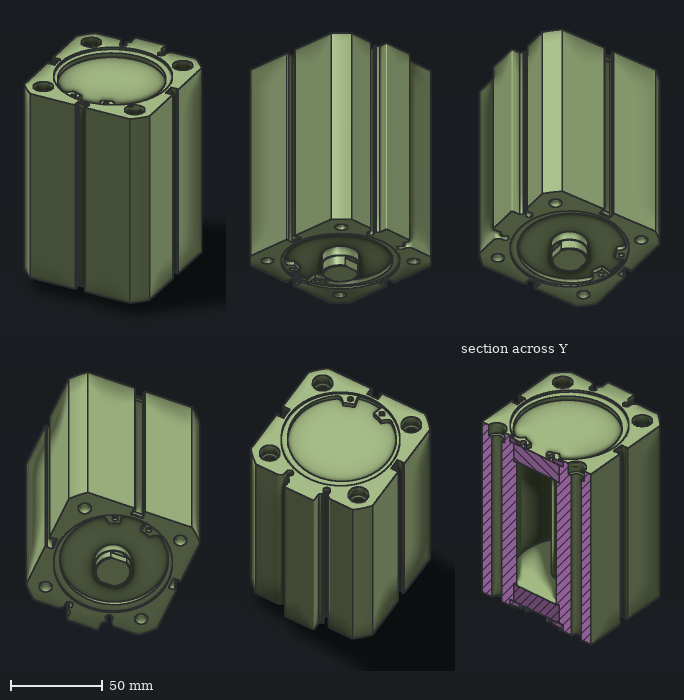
import cadquery as cq
import math


body_width = 77.5
body_height = 115.0
half_width = body_width / 2
corner_diameter = 99.0

rail_height = 5.5
rail_half_width = 9.3
rail_edge_radius = 0.6
rail_foot_height = 0.3
rail_foot_spread = 1.3
nose_half_width = 11.5
nose_height = 1.2
neck_half_width = 11.1

groove_radius = 2.0
groove_x = 11.8
groove_depth = 4.3
groove_lip_radius = 3.5

slot_width = 6.8
slot_depth = 4.5
slot_entry_width = 6.2
slot_mouth_width = 4.9
slot_lip_chamfer = (slot_entry_width - slot_mouth_width) / 2
slot_lip_land = 0.25

mount_spacing = 56.5
mount_diameter = 7.0
counterbore_diameter = 11.0
counterbore_depth = 7.0

bore_diameter = 63.0
cover_diameter = 65.0
cover_thickness = 12.0
ring_diameter = 68.0
ring_thickness = 2.7
ring_inset = 1.3
cover_inset = ring_inset + ring_thickness
seat_depth = cover_inset + cover_thickness

ring_opening_radius = 29.7
ring_opening_offset = 1.5
ring_gap_angle = 13.5
lug_end_angle = 27.5
lug_inner_radius = 26.1
lug_flank_length = 8.0
lug_root_radius = 3.0
lug_hole_diameter = 3.0
lug_hole_radius = 29.2
lug_hole_angle = 20.0

rod_diameter = 20.0
rod_tip_diameter = 19.5
rod_extension = 8.0
rod_collar_length = 1.5
rod_tip_chamfer = 0.5
flats_width = 17.0
flats_start = 3.0


def polar(radius, angle):
    """Point at a radius and an angle in degrees, measured from -Y toward +X."""
    turn = math.radians(angle)
    return radius * math.sin(turn), -radius * math.cos(turn)


def disc(diameter, bottom, height):
    return cq.Workplane("XY").workplane(offset=bottom).circle(diameter / 2).extrude(height)


def rail_flank(side):
    """Half of the rail, out to the rounded lip of its clearance groove and in to the axis."""
    groove_y = half_width - groove_depth
    foot_y = half_width + rail_foot_height - rail_foot_spread
    neck_y = groove_y + math.sqrt(groove_radius**2 - (groove_x - neck_half_width) ** 2)
    wall_x = groove_x + groove_radius
    lip_y = half_width - groove_lip_radius
    lip_turn = groove_lip_radius * (1 - math.sqrt(0.5))
    return (
        cq.Workplane("XY")
        .moveTo(0, half_width + rail_height)
        .lineTo(side * rail_half_width, half_width + rail_height)
        .lineTo(side * rail_half_width, half_width + rail_foot_height)
        .lineTo(side * (rail_half_width + rail_foot_spread), foot_y)
        .lineTo(side * nose_half_width, foot_y)
        .lineTo(side * nose_half_width, foot_y - nose_height)
        .lineTo(side * neck_half_width, foot_y - nose_height)
        .lineTo(side * neck_half_width, neck_y)
        .threePointArc((side * groove_x, groove_y - groove_radius), (side * wall_x, groove_y))
        .lineTo(side * wall_x, lip_y)
        .threePointArc(
            (side * (wall_x + lip_turn), half_width - lip_turn),
            (side * (wall_x + groove_lip_radius), half_width),
        )
        .lineTo(side * (wall_x + groove_lip_radius), 0)
        .lineTo(0, 0)
        .close()
        .extrude(body_height)
    )


def make_profile():
    """Square with turned corners, and the rail set into its +Y side."""
    square = cq.Workplane("XY").rect(body_width, body_width).extrude(body_height)
    square = square.intersect(disc(corner_diameter, 0, body_height))
    rail_zone = 2 * (groove_x + groove_radius + groove_lip_radius)
    opening = cq.Workplane("XY").center(0, half_width / 2).rect(rail_zone, half_width).extrude(body_height)
    rail = rail_flank(1).union(rail_flank(-1))
    rail = rail.faces(">Y").edges("|Z").fillet(rail_edge_radius)
    return square.cut(opening).union(rail)


def slot_cutter(turn):
    """Slot with a narrowed mouth, cut into the -Y side and then turned about the axis."""
    half_slot = slot_width / 2
    half_entry = slot_entry_width / 2
    half_mouth = slot_mouth_width / 2
    tip_y = -half_width + slot_lip_chamfer
    lip_back_y = tip_y + slot_lip_land
    floor_y = -half_width + slot_depth
    return (
        cq.Workplane("XY")
        .polyline([
            (-half_entry, -half_width),
            (-half_mouth, tip_y),
            (-half_mouth, lip_back_y),
            (-half_slot, lip_back_y),
            (-half_slot, floor_y),
            (half_slot, floor_y),
            (half_slot, lip_back_y),
            (half_mouth, lip_back_y),
            (half_mouth, tip_y),
            (half_entry, -half_width),
        ])
        .close()
        .extrude(body_height)
        .rotate((0, 0, 0), (0, 0, 1), turn)
    )


def make_housing():
    housing = make_profile()
    for turn in (-90, 0, 90):
        housing = housing.cut(slot_cutter(turn))
    housing = (
        housing.faces(">Z")
        .workplane(origin=(0, 0, body_height))
        .rect(mount_spacing, mount_spacing, forConstruction=True)
        .vertices()
        .cboreHole(mount_diameter, counterbore_diameter, counterbore_depth)
    )
    housing = housing.cut(disc(bore_diameter, 0, body_height))
    for seat_bottom in (0, body_height - seat_depth):
        housing = housing.cut(disc(cover_diameter, seat_bottom, seat_depth))
    for ring_bottom in (ring_inset, body_height - cover_inset):
        housing = housing.cut(disc(ring_diameter, ring_bottom, ring_thickness))
    return housing


def lug(side):
    """Ear beside the gap: a concentric inner edge and a flank at 45 degrees."""
    inner_corner = polar(lug_inner_radius, side * lug_end_angle)
    flank_step = lug_flank_length * math.sqrt(0.5)
    rim = ring_diameter / 2
    flank_end = (inner_corner[0] + side * flank_step, inner_corner[1] - flank_step)
    return (
        cq.Workplane("XY")
        .moveTo(*polar(rim, side * ring_gap_angle))
        .lineTo(*polar(lug_inner_radius, side * ring_gap_angle))
        .threePointArc(polar(lug_inner_radius, side * (ring_gap_angle + lug_end_angle) / 2), inner_corner)
        .lineTo(*flank_end)
        .close()
        .extrude(ring_thickness)
    )


def lug_root(side):
    """Point at mid thickness where a lug's flank meets the ring's opening."""
    corner_x, corner_y = polar(lug_inner_radius, side * lug_end_angle)
    across = abs(corner_x)
    down = -corner_y - ring_opening_offset
    step = (math.sqrt(2 * ring_opening_radius**2 - (across - down) ** 2) - across - down) / 2
    return side * (across + step), corner_y - step, ring_thickness / 2


def make_ring(bottom):
    blank = disc(ring_diameter, 0, ring_thickness)
    opening = disc(2 * ring_opening_radius, 0, ring_thickness).translate((0, -ring_opening_offset, 0))
    gap = (
        cq.Workplane("XY")
        .polyline([(0, 0), polar(ring_diameter, -ring_gap_angle), polar(ring_diameter, ring_gap_angle)])
        .close()
        .extrude(ring_thickness)
    )
    ring = blank.cut(opening).cut(gap)
    for side in (-1, 1):
        ring = ring.union(lug(side).intersect(blank))
    for side in (-1, 1):
        root_edge = cq.selectors.NearestToPointSelector(lug_root(side))
        ring = ring.edges(root_edge).fillet(lug_root_radius)
    holes = [polar(lug_hole_radius, side * lug_hole_angle) for side in (-1, 1)]
    pin_holes = cq.Workplane("XY").pushPoints(holes).circle(lug_hole_diameter / 2).extrude(ring_thickness)
    return ring.cut(pin_holes).translate((0, 0, bottom))


def make_head_cover():
    return disc(cover_diameter, body_height - seat_depth, cover_thickness)


def make_rod_cover():
    cover = disc(cover_diameter, cover_inset, cover_thickness)
    return cover.cut(disc(rod_diameter, cover_inset, cover_thickness))


def make_piston_rod():
    """Stepped rod with two wrench flats that run out at 45 degrees."""
    rod_top = body_height - seat_depth
    rod_radius = rod_diameter / 2
    tip_radius = rod_tip_diameter / 2
    step = rod_radius - tip_radius
    rod = (
        cq.Workplane("XZ")
        .polyline([
            (0, rod_top),
            (rod_radius, rod_top),
            (rod_radius, -rod_collar_length),
            (tip_radius, -rod_collar_length - step),
            (tip_radius, -rod_extension + rod_tip_chamfer),
            (tip_radius - rod_tip_chamfer, -rod_extension),
            (0, -rod_extension),
        ])
        .close()
        .revolve(360, (0, 0, 0), (0, 1, 0))
    )
    half_flats = flats_width / 2
    run_out = rod_radius - half_flats
    flat_cutter = (
        cq.Workplane("YZ")
        .polyline([
            (-half_flats, -rod_extension),
            (-half_flats, -flats_start),
            (-half_flats - run_out, -flats_start + run_out),
            (-half_flats - run_out, -rod_extension),
        ])
        .close()
        .extrude(rod_radius, both=True)
    )
    return rod.cut(flat_cutter).cut(flat_cutter.mirror("XZ"))


housing = make_housing()
head_cover = make_head_cover()
rod_cover = make_rod_cover()
piston_rod = make_piston_rod()
retaining_rings = [make_ring(bottom) for bottom in (ring_inset, body_height - cover_inset)]

bodies = [housing, head_cover, rod_cover, piston_rod, *retaining_rings]
result = cq.Compound.makeCompound([solid for body in bodies for solid in body.solids().vals()])